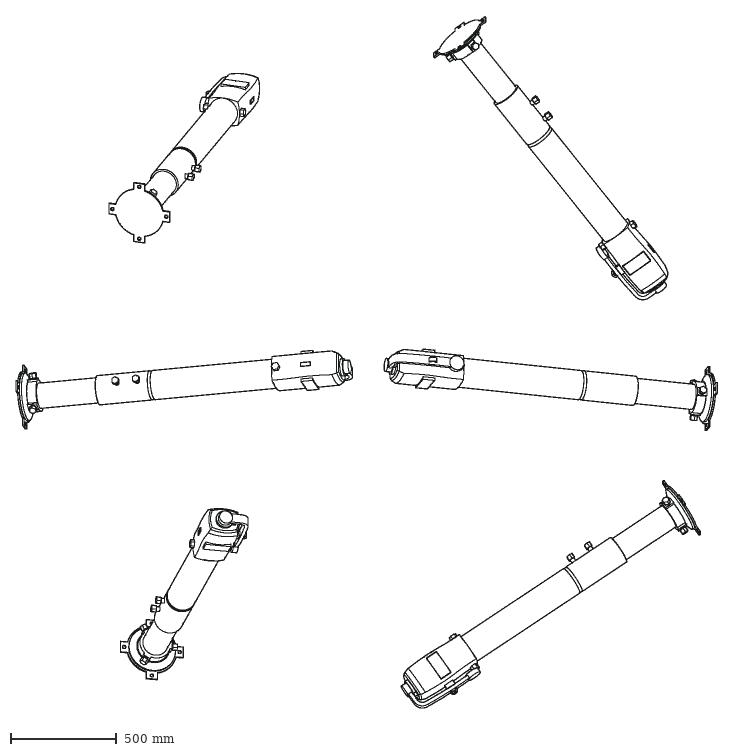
import cadquery as cq
import math

TOTAL_LENGTH = 1590.0

PLATE_SPAN = 304.0
PLATE_RADIUS = 121.0
PLATE_THICKNESS = 8.0
EAR_COUNT = 4
EAR_WIDTH = 54.0
EAR_HOLE_DIAMETER = 16.0
EAR_HOLE_INSET = 17.0

HUB_RADIUS = 113.0
HUB_RIM_TOP = 17.0
HUB_NECK_RADIUS = 80.0
COLLAR_BOTTOM = 33.0
COLLAR_TOP = 78.0
COLLAR_RADIUS = 75.0
PAD_COUNT = 3
PAD_REACH = 83.0
PAD_WIDTH = 37.0

HEX_SIDES = 6
SCREW_HEAD_ACROSS_FLATS = 30.0
SCREW_SHANK_DIAMETER = 22.0
SCREW_HEAD_HEIGHT = 22.0
COLLAR_SCREW_LEVEL = 57.0
COLLAR_SCREW_REACH = 110.0
TUBE_SCREW_REACH = 108.0
TUBE_SCREW_LEVELS = (472.0, 573.0)

INNER_TUBE_RADIUS = 60.0
OUTER_TUBE_RADIUS = 70.0
OUTER_TUBE_START = 366.0
GROOVE_START = 620.0
GROOVE_WIDTH = 15.0
GROOVE_DEPTH = 2.0

HEAD_START = 1230.0
HEAD_BULGE_START = 1298.0
HEAD_SHOULDER = 1522.0
HEAD_END = 1552.0
HEAD_HALF_WIDTH = 80.0
HEAD_HALF_HEIGHT = 72.0
HEAD_BULGE = 5.0
CROWN_X = 8.0
CROWN_Z = 11.0
SHOULDER_BREAK = 1545.0
SHOULDER_BREAK_HALF_WIDTH = 73.0
SHOULDER_BREAK_HALF_HEIGHT = 62.0
HEAD_END_HALF_WIDTH = 67.0
HEAD_END_HALF_HEIGHT = 54.0

PANEL_CENTRE = 1397.0
PANEL_LENGTH = 57.0
PANEL_WIDTH = 122.0
PANEL_REACH = 76.0
CLIP_LENGTH = 48.0
CLIP_HEIGHT = 19.0
CLIP_LEFT_REACH = 110.0
CLIP_RIGHT_REACH = 87.0

CAP_RADIUS = 32.0
CAP_FLANGE_RADIUS = 41.0
CAP_FLANGE_TOP = 1565.0
CAP_TAB_REACH = 52.0
CAP_TAB_WIDTH = 43.0

STRAP_WIDTH = 43.0
STRAP_THICKNESS = 17.0
STRAP_TOP_X = 118.0
STRAP_BOW_X = 124.0
STRAP_FOOT_X = 121.0
STRAP_TOP = 1586.0
STRAP_BEND_RADIUS = 48.0
DISC_CENTRE = 1277.0
DISC_RADIUS = 35.0
DISC_OUTER_X = 124.0
DISC_THICKNESS = 24.0
LOOP_RADIUS = 19.0
LOOP_HOLE_RADIUS = 11.0

BOLT_LEVEL = 1252.0
BOLT_HEAD_DIAMETER = 38.0
BOLT_LEFT_REACH = 103.0
BOLT_RIGHT_REACH = 97.0


def cylinder(radius, start, end):
    """Cylinder on the mast axis from Y = start to Y = end."""
    return cq.Workplane("XZ", origin=(0, start, 0)).circle(radius).extrude(start - end)


def box(x_range, y_range, z_range):
    """Box between the given limits."""
    corners = [x_range, y_range, z_range]
    size = [high - low for low, high in corners]
    return cq.Workplane("XY").box(*size, centered=False).translate([low for low, high in corners])


def radial_screw(level, reach):
    """Hexagon screw pointing along +X from the axis at Y = level."""
    plane = cq.Workplane("YZ").center(level, 0)
    shank = plane.circle(SCREW_SHANK_DIAMETER / 2).extrude(reach)
    head_start = reach - SCREW_HEAD_HEIGHT
    head = (
        plane.workplane(offset=head_start)
        .polygon(HEX_SIDES, SCREW_HEAD_ACROSS_FLATS, circumscribed=True)
        .extrude(SCREW_HEAD_HEIGHT)
    )
    return shank.union(head)


def make_base_plate():
    """Round plate with four drilled ears."""
    ear_strip = box(
        (-PLATE_SPAN / 2, PLATE_SPAN / 2), (0, PLATE_THICKNESS), (-EAR_WIDTH / 2, EAR_WIDTH / 2)
    )
    plate = cylinder(PLATE_RADIUS, 0, PLATE_THICKNESS)
    plate = plate.union(ear_strip).union(ear_strip.rotate((0, 0, 0), (0, 1, 0), 90))
    holes = (
        cq.Workplane("XZ")
        .polarArray(PLATE_SPAN / 2 - EAR_HOLE_INSET, 0, 360, EAR_COUNT)
        .circle(EAR_HOLE_DIAMETER / 2)
        .extrude(-PLATE_THICKNESS)
    )
    return plate.cut(holes)


def make_hub():
    """Flared hub and collar with three screwed clamp pads."""
    flare = (
        cq.Workplane("XY")
        .polyline([
            (0, 0),
            (HUB_RADIUS, 0),
            (HUB_RADIUS, HUB_RIM_TOP),
            (HUB_NECK_RADIUS, COLLAR_BOTTOM),
            (0, COLLAR_BOTTOM),
        ])
        .close()
        .revolve(360, (0, 0, 0), (0, 1, 0))
    )
    hub = flare.union(cylinder(COLLAR_RADIUS, 0, COLLAR_TOP))
    pad = box((0, PAD_REACH), (PLATE_THICKNESS, COLLAR_TOP), (-PAD_WIDTH / 2, PAD_WIDTH / 2))
    fitting = pad.union(radial_screw(COLLAR_SCREW_LEVEL, COLLAR_SCREW_REACH))
    for index in range(PAD_COUNT):
        hub = hub.union(fitting.rotate((0, 0, 0), (0, 1, 0), 180 + index * 360 / PAD_COUNT))
    return hub


def make_tubes():
    """Inner and outer tubes with a shallow groove and two locking screws."""
    tubes = cylinder(INNER_TUBE_RADIUS, 0, OUTER_TUBE_START)
    tubes = tubes.union(cylinder(OUTER_TUBE_RADIUS, OUTER_TUBE_START, HEAD_START))
    groove_end = GROOVE_START + GROOVE_WIDTH
    groove = cylinder(OUTER_TUBE_RADIUS, GROOVE_START, groove_end).cut(
        cylinder(OUTER_TUBE_RADIUS - GROOVE_DEPTH, GROOVE_START, groove_end)
    )
    tubes = tubes.cut(groove)
    for level in TUBE_SCREW_LEVELS:
        tubes = tubes.union(radial_screw(level, TUBE_SCREW_REACH))
    return tubes


def crowned_wire(level, corner_x, half_width, corner_z, half_height):
    """Closed wire of four crowned sides at Y = level; a side whose corner has no drop is straight."""
    wire = cq.Workplane("XZ", origin=(0, level, 0)).moveTo(-corner_x, -corner_z)
    middles = [(0, -half_height), (half_width, 0), (0, half_height), (-half_width, 0)]
    ends = [(corner_x, -corner_z), (corner_x, corner_z), (-corner_x, corner_z), (-corner_x, -corner_z)]
    for middle, end in zip(middles, ends):
        straight = middle[0] == end[0] or middle[1] == end[1]
        wire = wire.lineTo(*end) if straight else wire.threePointArc(middle, end)
    return wire.close().val()


def head_section(level, half_width, half_height):
    """Housing outline at Y = level with all four sides crowned."""
    return crowned_wire(level, half_width - CROWN_X, half_width, half_height - CROWN_Z, half_height)


def loft(wires, ruled):
    """Solid through the wires, with straight rulings or a smooth skin."""
    return cq.Workplane(cq.Solid.makeLoft(wires, ruled))


def arc_drop(half_chord, drop, half_span):
    """Drop, at half_span from its middle, of the arc that drops by drop at half_chord."""
    radius = (half_chord**2 + drop**2) / (2 * drop)
    return radius - math.sqrt(radius**2 - half_span**2)


def make_head_body():
    """Straight prism with crowned top and bottom, trimmed by crowned, bulging sides."""
    corner_x = HEAD_HALF_WIDTH - CROWN_X
    corner_z = HEAD_HALF_HEIGHT - CROWN_Z

    slab_x = HEAD_HALF_WIDTH + 2 * HEAD_BULGE
    slab_z = HEAD_HALF_HEIGHT - arc_drop(corner_x, CROWN_Z, slab_x)
    slab_wire = crowned_wire(HEAD_START, slab_x, slab_x, slab_z, HEAD_HALF_HEIGHT)
    slab = cq.Workplane(
        cq.Solid.extrudeLinear(slab_wire, [], cq.Vector(0, HEAD_SHOULDER - HEAD_START, 0))
    )

    trim_drop = arc_drop(corner_z, CROWN_X, HEAD_HALF_HEIGHT)
    bulge_level = (HEAD_BULGE_START + HEAD_SHOULDER) / 2

    def trim_section(level, half_width):
        return crowned_wire(
            level, half_width - trim_drop, half_width, HEAD_HALF_HEIGHT, HEAD_HALF_HEIGHT + CROWN_Z
        )

    foot = trim_section(HEAD_START, HEAD_HALF_WIDTH)
    bulge_start = trim_section(HEAD_BULGE_START, HEAD_HALF_WIDTH)
    bulge_middle = trim_section(bulge_level, HEAD_HALF_WIDTH + HEAD_BULGE)
    shoulder = trim_section(HEAD_SHOULDER, HEAD_HALF_WIDTH)
    trim = loft([foot, bulge_start], True).union(loft([bulge_start, bulge_middle, shoulder], False))
    return slab.intersect(trim)


def make_head():
    """Housing body with its tapered shoulder."""
    shoulder = head_section(HEAD_SHOULDER, HEAD_HALF_WIDTH, HEAD_HALF_HEIGHT)
    shoulder_break = head_section(SHOULDER_BREAK, SHOULDER_BREAK_HALF_WIDTH, SHOULDER_BREAK_HALF_HEIGHT)
    end = head_section(HEAD_END, HEAD_END_HALF_WIDTH, HEAD_END_HALF_HEIGHT)
    return make_head_body().union(loft([shoulder, shoulder_break, end], True))


def make_head_fittings():
    """Panels, clips, cross bolt and end cap on the housing."""
    panel_range = (PANEL_CENTRE - PANEL_LENGTH / 2, PANEL_CENTRE + PANEL_LENGTH / 2)
    panels = box((-PANEL_WIDTH / 2, PANEL_WIDTH / 2), panel_range, (-PANEL_REACH, PANEL_REACH))
    clip_range = (PANEL_CENTRE - CLIP_LENGTH / 2, PANEL_CENTRE + CLIP_LENGTH / 2)
    clips = box((-CLIP_LEFT_REACH, CLIP_RIGHT_REACH), clip_range, (-CLIP_HEIGHT / 2, CLIP_HEIGHT / 2))
    bolt = (
        cq.Workplane("YZ", origin=(-BOLT_LEFT_REACH, BOLT_LEVEL, 0))
        .polygon(HEX_SIDES, BOLT_HEAD_DIAMETER)
        .extrude(BOLT_LEFT_REACH + BOLT_RIGHT_REACH)
    )
    cap = cylinder(CAP_RADIUS, HEAD_END, TOTAL_LENGTH)
    flange = cylinder(CAP_FLANGE_RADIUS, HEAD_END, CAP_FLANGE_TOP)
    tab = box((-CAP_TAB_REACH, 0), (HEAD_END, CAP_FLANGE_TOP), (-CAP_TAB_WIDTH / 2, CAP_TAB_WIDTH / 2))
    return panels.union(clips).union(bolt).union(cap).union(flange).union(tab)


def make_handle():
    """Bowed strap with a pivot disc and a small outer loop."""
    top_x = -STRAP_TOP_X
    bow_x = -STRAP_BOW_X
    foot_x = -STRAP_FOOT_X
    bend_x = top_x + STRAP_BEND_RADIUS
    bend_y = STRAP_TOP - STRAP_BEND_RADIUS
    inner_radius = STRAP_BEND_RADIUS - STRAP_THICKNESS
    diagonal = math.sqrt(0.5)
    strap = (
        cq.Workplane("XY", origin=(0, 0, -STRAP_WIDTH / 2))
        .moveTo(foot_x, DISC_CENTRE)
        .threePointArc((bow_x, PANEL_CENTRE), (top_x, bend_y))
        .threePointArc(
            (bend_x - STRAP_BEND_RADIUS * diagonal, bend_y + STRAP_BEND_RADIUS * diagonal),
            (bend_x, STRAP_TOP),
        )
        .lineTo(0, STRAP_TOP)
        .lineTo(0, STRAP_TOP - STRAP_THICKNESS)
        .lineTo(bend_x, STRAP_TOP - STRAP_THICKNESS)
        .threePointArc(
            (bend_x - inner_radius * diagonal, bend_y + inner_radius * diagonal),
            (top_x + STRAP_THICKNESS, bend_y),
        )
        .threePointArc(
            (bow_x + STRAP_THICKNESS, PANEL_CENTRE),
            (foot_x + STRAP_THICKNESS, DISC_CENTRE),
        )
        .close()
        .extrude(STRAP_WIDTH)
    )
    disc = (
        cq.Workplane("YZ", origin=(-DISC_OUTER_X, DISC_CENTRE, 0)).circle(DISC_RADIUS).extrude(DISC_THICKNESS)
    )
    loop = (
        cq.Workplane("XY", origin=(bow_x, PANEL_CENTRE, -CLIP_HEIGHT / 2))
        .moveTo(0, LOOP_RADIUS)
        .threePointArc((-LOOP_RADIUS, 0), (0, -LOOP_RADIUS))
        .lineTo(0, -LOOP_HOLE_RADIUS)
        .threePointArc((-LOOP_HOLE_RADIUS, 0), (0, LOOP_HOLE_RADIUS))
        .close()
        .extrude(CLIP_HEIGHT)
    )
    return strap.union(disc).union(loop)


result = (
    make_base_plate()
    .union(make_hub())
    .union(make_tubes())
    .union(make_head())
    .union(make_head_fittings())
    .union(make_handle())
)